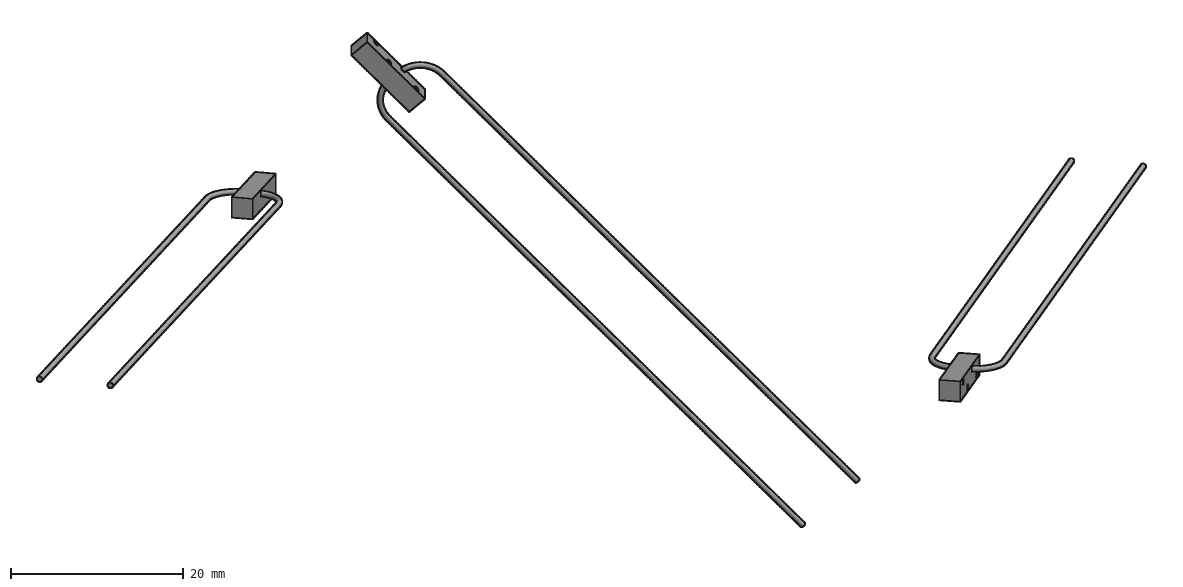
import cadquery as cq
import math

OVERALL_LENGTH = 81.15
LEAD_SPAN = 9.25

BLOCK_SIDE = 2.5
BLOCK_LENGTH = 10.0
END_MARGIN = 0.3
SEGMENT_COUNT = 4
SEGMENT_PITCH = (BLOCK_LENGTH - 2 * END_MARGIN) / SEGMENT_COUNT

LEAD_DIAMETER = 0.7
LEAD_SEGMENT = 2
BEND_RADIUS = 3.5
ROW_OFFSET = 0.7

HOLE_DEPTH = 0.4
HOLE_HEIGHTS = {0: ROW_OFFSET, 1: -ROW_OFFSET, 3: -ROW_OFFSET}

BACK_Y = OVERALL_LENGTH / 2
TIP_Y = -OVERALL_LENGTH / 2
LEAD_X = (LEAD_SPAN - LEAD_DIAMETER) / 2


def segment_y(segment):
    """Y of the middle of a block segment."""
    return BACK_Y - END_MARGIN - (segment + 0.5) * SEGMENT_PITCH


def make_lead(side):
    """A lead that leaves the block sideways and bends round toward -Y; side is -1 or 1."""
    entry_x = LEAD_X - BEND_RADIUS
    entry_y = segment_y(LEAD_SEGMENT)
    bend_end_y = entry_y - BEND_RADIUS
    diagonal = BEND_RADIUS * math.cos(math.radians(45))
    path = (
        cq.Workplane("XY", origin=(0, 0, ROW_OFFSET))
        .moveTo(side * entry_x, entry_y)
        .threePointArc(
            (side * (entry_x + diagonal), bend_end_y + diagonal),
            (side * LEAD_X, bend_end_y),
        )
        .lineTo(side * LEAD_X, TIP_Y)
    )
    section = cq.Workplane("YZ", origin=(side * entry_x, entry_y, ROW_OFFSET)).circle(LEAD_DIAMETER / 2)
    return section.sweep(path)


def make_side_hole(segment, height):
    """The cutter for one blind hole in the block's -X side."""
    return (
        cq.Workplane("YZ", origin=(-BLOCK_SIDE / 2, segment_y(segment), height))
        .circle(LEAD_DIAMETER / 2)
        .extrude(HOLE_DEPTH)
    )


def make_block(leads):
    """The square block, with a socket for each lead and the blind side holes."""
    middle_y = BACK_Y - BLOCK_LENGTH / 2
    block = cq.Workplane("XY", origin=(0, middle_y, 0)).box(BLOCK_SIDE, BLOCK_LENGTH, BLOCK_SIDE)
    for lead in leads:
        block = block.cut(lead)
    for segment, height in HOLE_HEIGHTS.items():
        block = block.cut(make_side_hole(segment, height))
    return block


leads = [make_lead(side) for side in (-1, 1)]
block = make_block(leads)

result = cq.Compound.makeCompound([block.val(), *[lead.val() for lead in leads]])